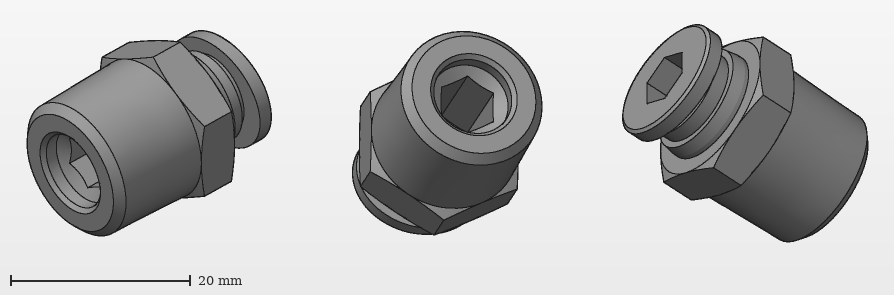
import cadquery as cq
import math

length = 23.7

thread_length = 12.0
hex_length = 5.0
collar_straight_length = 0.5
hex_back = thread_length + hex_length
collar_straight_end = hex_back + collar_straight_length
collar_end = 19.05
step_end = 20.85
neck_end = 21.7

hex_across_flats = 17.0
hex_chamfer_angle = 20.0
thread_chamfer = 1.0
thread_taper = 1 / 16
thread_back_diameter = hex_across_flats
thread_front_diameter = thread_back_diameter - thread_taper * (thread_length - thread_chamfer)
collar_diameter = 13.1
collar_end_diameter = 12.58
step_diameter = 11.0
neck_diameter = 9.7

flange_width = 15.0
flange_height = 13.1
flange_chamfer_depth = 0.28
flange_chamfer_inset = 0.4

bore_diameter = 9.0
bore_chamfer = 0.5
bore_depth = 2.0
bore_tip_angle = 118.0
socket_across_flats = 6.0

corner_ratio = 2 / math.sqrt(3)


def hex_prism(across_flats, start, end):
    """Hexagonal bar along Y with corners pointing up and down."""
    return (
        cq.Workplane("XZ", origin=(0, start, 0))
        .transformed(rotate=(0, 0, 90))
        .polygon(6, across_flats * corner_ratio)
        .extrude(-(end - start))
    )


def turned(profile):
    """Revolve (radius, station) points about the Y axis."""
    return cq.Workplane("XY").polyline(profile).close().revolve(360, (0, 0, 0), (0, 1, 0))


def turned_body():
    """Threaded end, core of the hexagon, collar, step and neck in one turned piece."""
    front_radius = thread_front_diameter / 2
    return turned([
        (0, 0),
        (front_radius - thread_chamfer, 0),
        (front_radius, thread_chamfer),
        (thread_back_diameter / 2, thread_length),
        (thread_back_diameter / 2, hex_back),
        (collar_diameter / 2, hex_back),
        (collar_diameter / 2, collar_straight_end),
        (collar_end_diameter / 2, collar_end),
        (step_diameter / 2, collar_end),
        (step_diameter / 2, step_end),
        (neck_diameter / 2, step_end),
        (neck_diameter / 2, neck_end),
        (0, neck_end),
    ])


def hex_collar():
    """Wrench hexagon with its corners turned down by a cone at both ends."""
    face_radius = hex_across_flats / 2
    corner_radius = face_radius * corner_ratio
    chamfer_depth = (corner_radius - face_radius) * math.tan(math.radians(hex_chamfer_angle))
    envelope = turned([
        (0, thread_length),
        (face_radius, thread_length),
        (corner_radius, thread_length + chamfer_depth),
        (corner_radius, hex_back - chamfer_depth),
        (face_radius, hex_back),
        (0, hex_back),
    ])
    return hex_prism(hex_across_flats, thread_length, hex_back).intersect(envelope)


def release_flange():
    """Oval plate with a chamfered back rim."""
    chamfer_start = length - flange_chamfer_depth
    plate = (
        cq.Workplane("XZ", origin=(0, neck_end, 0))
        .ellipse(flange_width / 2, flange_height / 2)
        .extrude(-(chamfer_start - neck_end))
    )
    chamfer = (
        cq.Workplane("XZ", origin=(0, chamfer_start, 0))
        .ellipse(flange_width / 2, flange_height / 2)
        .workplane(offset=-flange_chamfer_depth)
        .ellipse(flange_width / 2 - flange_chamfer_inset, flange_height / 2 - flange_chamfer_inset)
        .loft(ruled=True)
    )
    return plate.union(chamfer)


def front_bore():
    """Chamfered round bore ending in a drill point."""
    radius = bore_diameter / 2
    tip_length = radius / math.tan(math.radians(bore_tip_angle / 2))
    return turned([
        (0, 0),
        (radius + bore_chamfer, 0),
        (radius, bore_chamfer),
        (radius, bore_depth),
        (0, bore_depth + tip_length),
    ])


socket = hex_prism(socket_across_flats, 0, length)

result = (
    turned_body()
    .union(hex_collar())
    .union(release_flange())
    .cut(front_bore())
    .cut(socket)
)